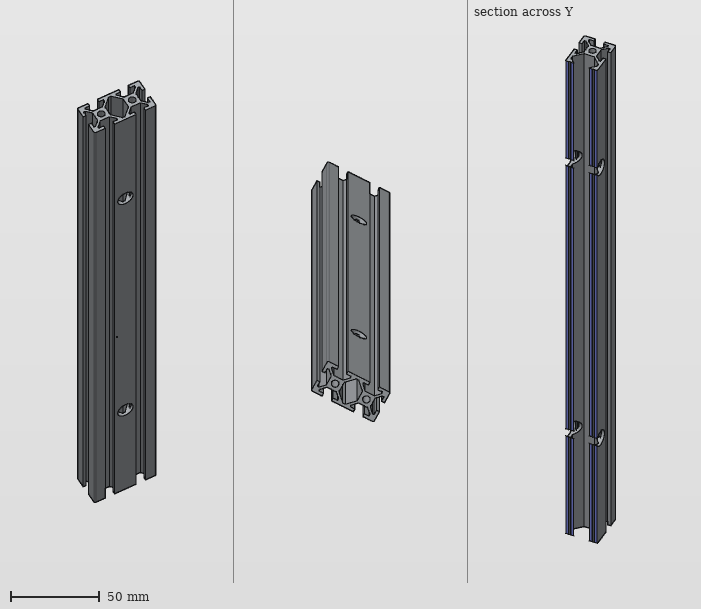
import cadquery as cq
import math

width = 20.0
depth = 2 * width
length = 350.0
corner_radius = 0.88
cell_offset = width / 2

slot_half_opening = 3.0
lip_thickness = 1.92
slot_inner_width = 12.0
core_width = 8.0
web_thickness = 1.5

channel_diameter = 4.2
cavity_width = width - 2 * lip_thickness
cavity_depth = 11.5

cross_hole_diameter = 9.8
cross_hole_end_distance = 75.0

web_face_offset = web_thickness / 2 * math.sqrt(2)


def prism(points):
    """Extrude a closed XY outline over the full length."""
    return cq.Workplane("XY", origin=(0, 0, -length / 2)).polyline(points).close().extrude(length)


def t_slot(cell_y, angle):
    """T-slot cutter for the cell at cell_y, opening along +X before rotation by angle."""
    outer = width / 2
    lip_inner = outer - lip_thickness
    half_inner = slot_inner_width / 2
    core_half = core_width / 2
    upper = [
        (outer, slot_half_opening),
        (lip_inner, slot_half_opening),
        (lip_inner, half_inner),
        (half_inner + web_face_offset, half_inner),
        (core_half, core_half - web_face_offset),
    ]
    lower = [(x, -y) for x, y in reversed(upper)]
    cutter = prism(upper + lower).rotate((0, 0, 0), (0, 0, 1), angle)
    return cutter.translate((0, cell_y, 0))


def central_cavity():
    """Eight-sided cavity between the two cells, its slanted sides parallel to the webs."""
    diagonal_sum = cell_offset - web_face_offset
    half_width = cavity_width / 2
    half_depth = cavity_depth / 2
    side_y = diagonal_sum - half_width
    end_x = diagonal_sum - half_depth
    right = [
        (end_x, -half_depth),
        (half_width, -side_y),
        (half_width, side_y),
        (end_x, half_depth),
    ]
    left = [(-x, -y) for x, y in right]
    return prism(right + left)


def screw_channels():
    """Round channel along Z through the core of each cell."""
    return (
        cq.Workplane("XY", origin=(0, 0, -length / 2))
        .pushPoints([(0, -cell_offset), (0, cell_offset)])
        .circle(channel_diameter / 2)
        .extrude(length)
    )


def cross_holes():
    """Holes along X through both broad sides, one near each end."""
    hole_z = length / 2 - cross_hole_end_distance
    return (
        cq.Workplane("YZ")
        .pushPoints([(0, -hole_z), (0, hole_z)])
        .circle(cross_hole_diameter / 2)
        .extrude(width / 2, both=True)
    )


body = cq.Workplane("XY").box(width, depth, length).edges("|Z").fillet(corner_radius)

for side in (1, -1):
    for angle in (0, 180, side * 90):
        body = body.cut(t_slot(side * cell_offset, angle))

result = body.cut(central_cavity()).cut(screw_channels()).cut(cross_holes())